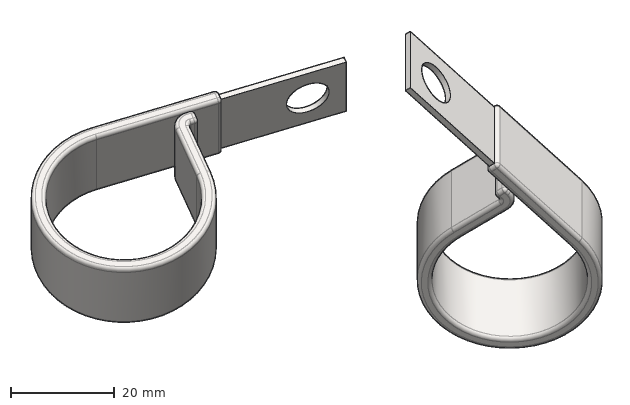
import cadquery as cq
import math

overall_length = 69.4
cushion_width = 17.4
loop_radius = 17.85

band_thickness = 1.25
strap_thickness = 2.85
cushion_cover = (strap_thickness - band_thickness) / 2
edge_radius = cushion_cover
band_width = cushion_width - 2 * cushion_cover
loop_inner_radius = loop_radius - strap_thickness

leg_end_y = 25.8
foot_end_y = 19.85
foot_gap = 0.1
bend_inner_radius = 0.4
bend_outer_radius = bend_inner_radius + strap_thickness
foot_left_x = -loop_inner_radius + foot_gap
foot_right_x = foot_left_x + strap_thickness
bend_center_x = foot_left_x + bend_outer_radius
bend_center_y = loop_inner_radius + bend_outer_radius

tab_end_y = overall_length - loop_radius
tab_start_y = loop_radius
hole_diameter = 8.75
hole_edge_distance = band_width / 2


def arc_point(center_x, center_y, radius, degrees):
    """Point on a circle at an angle measured from +X."""
    angle = math.radians(degrees)
    return (center_x + radius * math.cos(angle), center_y + radius * math.sin(angle))


def make_cushion():
    """Closed loop strap with a straight leg and a foot, all edges rounded."""
    outline = (
        cq.Workplane("XY")
        .workplane(offset=-cushion_width / 2)
        .moveTo(-loop_radius, leg_end_y)
        .lineTo(-loop_radius, 0)
        .threePointArc(arc_point(0, 0, loop_radius, -45), (0, loop_radius))
        .lineTo(bend_center_x, loop_radius)
        .threePointArc(
            arc_point(bend_center_x, bend_center_y, bend_inner_radius, 225),
            (foot_right_x, bend_center_y),
        )
        .lineTo(foot_right_x, foot_end_y)
        .lineTo(foot_left_x, foot_end_y)
        .lineTo(foot_left_x, bend_center_y)
        .threePointArc(
            arc_point(bend_center_x, bend_center_y, bend_outer_radius, 225),
            (bend_center_x, loop_inner_radius),
        )
        .lineTo(0, loop_inner_radius)
        .threePointArc(arc_point(0, 0, loop_inner_radius, -45), (-loop_inner_radius, 0))
        .lineTo(-loop_inner_radius, leg_end_y)
        .close()
    )
    cushion = outline.extrude(cushion_width)
    face_and_end_edges = cushion.faces("|Z or >Y").edges()
    foot_end_edges = cushion.faces(
        cq.selectors.NearestToPointSelector(
            (foot_left_x + strap_thickness / 2, foot_end_y, 0)
        )
    ).edges()
    return cushion.newObject(face_and_end_edges.vals() + foot_end_edges.vals()).fillet(edge_radius)


def make_tab():
    """Flat band end with its bolt hole, centred in the strap thickness."""
    tab = cq.Workplane("XY").box(
        band_thickness,
        tab_end_y - tab_start_y,
        band_width,
        centered=(True, False, True),
    )
    tab = tab.translate((-loop_radius + strap_thickness / 2, tab_start_y, 0))
    hole = (
        cq.Workplane("YZ")
        .center(tab_end_y - hole_edge_distance, 0)
        .circle(hole_diameter / 2)
        .extrude(loop_radius, both=True)
    )
    return tab.cut(hole)


result = make_cushion().union(make_tab())